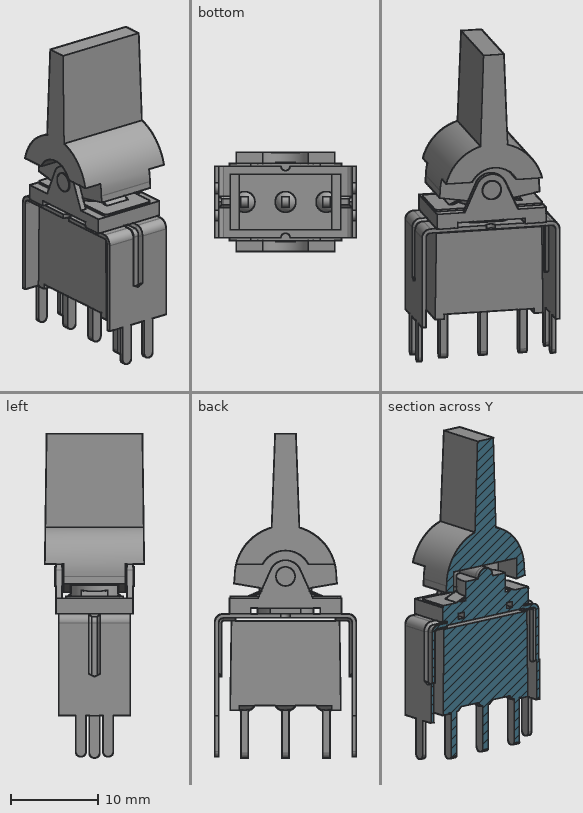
import cadquery as cq
import math


total_height = 37.25
rocker_width = 11.45
rocker_radius = 5.85
rocker_foot_half = 5.92
rocker_inner_width = 7.08
rocker_wall_bottom = 20.05
rocker_keel = 19.03
ear_relief_top = 22.27
ear_relief_radius = 2.98
lever_base_thickness = 3.2
lever_tip_thickness = 2.42
lever_tip_width = 11.02
pocket_length = 9.3
pocket_width = 5.5
pocket_top = 22.27

pin_diameter = 2.2
pin_length = 9.15
pivot_z = 20.85

frame_length = 12.9
frame_width = 8.85
frame_bottom = 16.57
frame_top = 18.35
ear_gap = 7.45
ear_radius = 1.85
ear_base_half = 3.15
frame_slot_length = 7.97
frame_slot_height = 0.65

seal_length = 12.75
seal_width = 6.63
seal_thickness = 0.22
seal_corner = 0.45
flap_thickness = 0.22
flap_width = 3.05
end_flap_reach = 4.32
end_flap_rise = 0.67
side_flap_reach = 3.05
side_flap_rise = 0.3

bushing_radius = 3.25
bushing_width = 5.45
neck_radius = 3.0
bushing_top = pivot_z

bracket_length = 16.27
bracket_width = 8.23
sheet = 0.5
bend_radius = 1.0
leg_bottom = 4.88
leg_pin_tip = 0.15
leg_pin_spacing = 3.13
edge_notch_radius = 0.52

rib_start = 5.75
rib_tip = 9.35
rib_width = 1.35
rib_floor_width = 0.67
rib_depth = 0.35

case_length = 12.75
case_top_length = 12.45
case_width = 6.4
case_bottom = 5.47
case_top = frame_bottom - sheet - rib_depth
recess_length = 10.65
recess_height = 0.55

pin_width = 1.23
terminal_thickness = 0.85
terminal_pitch = 4.7
bead_radius = 1.2
bead_height = 0.67


def box(length, width, bottom, top):
    """Block centred on the Z axis between two heights."""
    block = cq.Workplane("XY").box(length, width, top - bottom, centered=(True, True, False))
    return block.translate((0, 0, bottom))


def slab(outline, width, y=0.0):
    """Extrude an XZ outline symmetrically about the plane at the given y."""
    return outline.extrude(width / 2, both=True).translate((0, y, 0))


def cylinder(radius, bottom, top):
    return cq.Workplane("XY").workplane(offset=bottom).circle(radius).extrude(top - bottom)


def round_tip_pin(x, y, thickness, tip, top):
    """Flat pin with a full round lower end."""
    half = pin_width / 2
    outline = (
        cq.Workplane("YZ")
        .moveTo(-half, top)
        .lineTo(-half, tip + half)
        .threePointArc((0, tip), (half, tip + half))
        .lineTo(half, top)
        .close()
    )
    return outline.extrude(thickness / 2, both=True).translate((x, y, 0))


def make_rocker():
    lever_half = lever_base_thickness / 2
    lever_base_z = pivot_z + math.sqrt(rocker_radius ** 2 - lever_half ** 2)
    shoulder = rocker_radius * math.sqrt(0.5)
    outline = (
        cq.Workplane("XZ")
        .moveTo(-rocker_radius, pivot_z)
        .threePointArc((-shoulder, pivot_z + shoulder), (-lever_half, lever_base_z))
        .lineTo(lever_half, lever_base_z)
        .threePointArc((shoulder, pivot_z + shoulder), (rocker_radius, pivot_z))
        .lineTo(rocker_foot_half, rocker_wall_bottom)
        .lineTo(0, rocker_keel)
        .lineTo(-rocker_foot_half, rocker_wall_bottom)
        .close()
    )
    rocker = slab(outline, rocker_width)
    rocker = rocker.cut(box(pocket_length, pocket_width, 0, pocket_top))

    side_depth = (rocker_width - rocker_inner_width) / 2
    side_y = (rocker_width + rocker_inner_width) / 4
    for side in (-1, 1):
        relief = box(bracket_length, side_depth, 0, ear_relief_top).translate((0, side * side_y, 0))
        arch = cq.Workplane("XZ").center(0, pivot_z).circle(ear_relief_radius)
        rocker = rocker.cut(relief).cut(slab(arch, side_depth, side * side_y))

    lever = cq.Workplane("XZ").polyline([
        (-lever_half, lever_base_z),
        (lever_half, lever_base_z),
        (lever_tip_thickness / 2, total_height),
        (-lever_tip_thickness / 2, total_height),
    ]).close()
    rocker = rocker.union(slab(lever, rocker_width))

    drafted_ends = cq.Workplane("YZ").polyline([
        (-rocker_width / 2, 0),
        (rocker_width / 2, 0),
        (rocker_width / 2, ear_relief_top),
        (lever_tip_width / 2, total_height),
        (-lever_tip_width / 2, total_height),
        (-rocker_width / 2, ear_relief_top),
    ]).close().extrude(bracket_length / 2, both=True)
    return rocker.intersect(drafted_ends)


def make_frame():
    frame = box(frame_length, frame_width, frame_bottom, frame_top)

    drop = pivot_z - frame_top
    reach = math.hypot(ear_base_half, drop)
    tangent_angle = math.acos(ear_radius / reach) - math.atan2(drop, ear_base_half)
    tangent_x = ear_radius * math.cos(tangent_angle)
    tangent_z = pivot_z + ear_radius * math.sin(tangent_angle)
    ear_thickness = (frame_width - ear_gap) / 2
    for side in (-1, 1):
        ear = (
            cq.Workplane("XZ")
            .moveTo(-ear_base_half, frame_top)
            .lineTo(-tangent_x, tangent_z)
            .threePointArc((0, pivot_z + ear_radius), (tangent_x, tangent_z))
            .lineTo(ear_base_half, frame_top)
            .close()
        )
        frame = frame.union(slab(ear, ear_thickness, side * (frame_width + ear_gap) / 4))

    slot = box(frame_slot_length, frame_width, frame_bottom, frame_bottom + frame_slot_height)
    return frame.cut(slot)


def make_flap(reach, inner, rise):
    """Sloping tongue that rises from the seal plate toward the bushing, along +X."""
    foot = frame_top + seal_thickness
    undercut = flap_thickness * (reach - inner) / rise
    outline = cq.Workplane("XZ").polyline([
        (reach, foot),
        (inner, foot + rise),
        (inner, foot + rise - flap_thickness),
        (reach - undercut, foot),
    ]).close()
    return slab(outline, flap_width)


def make_seal():
    seal = box(seal_length, seal_width, frame_top, frame_top + seal_thickness)
    seal = seal.edges("|Z").fillet(seal_corner)
    end_flap = make_flap(end_flap_reach, bushing_width / 2, end_flap_rise)
    side_flap = make_flap(side_flap_reach, bushing_width / 2, side_flap_rise)
    for half_turn in (0, 180):
        seal = seal.union(end_flap.rotate((0, 0, 0), (0, 0, 1), half_turn))
        seal = seal.union(side_flap.rotate((0, 0, 0), (0, 0, 1), half_turn + 90))
    return seal


def make_bushing():
    lower = cylinder(bushing_radius, frame_bottom, frame_top)
    neck = cylinder(neck_radius, frame_top, bushing_top)
    flats = box(2 * bushing_radius, bushing_width, frame_bottom, bushing_top)
    return lower.union(neck).intersect(flats)


def rib_sweep(side, inset):
    """Trapezoid strip that follows the bracket bend, set in from the outer surface."""
    surface_x = bracket_length / 2 - inset
    surface_z = frame_bottom - inset
    radius = bend_radius - inset
    bend_x = surface_x - radius
    bend_z = surface_z - radius
    diagonal = radius * math.sqrt(0.5)
    path = (
        cq.Workplane("XZ")
        .moveTo(side * rib_start, surface_z)
        .lineTo(side * bend_x, surface_z)
        .threePointArc((side * (bend_x + diagonal), bend_z + diagonal), (side * surface_x, bend_z))
        .lineTo(side * surface_x, rib_tip)
    )
    section = cq.Workplane("YZ").workplane(offset=side * rib_start).polyline([
        (-rib_width / 2, surface_z),
        (rib_width / 2, surface_z),
        (rib_floor_width / 2, surface_z - rib_depth),
        (-rib_floor_width / 2, surface_z - rib_depth),
    ]).close()

    half = rib_width / 2
    pointed = cq.Workplane("YZ").polyline([
        (-half, frame_bottom),
        (-half, rib_tip + half / 2),
        (0, rib_tip),
        (half, rib_tip + half / 2),
        (half, frame_bottom),
    ]).close().extrude(bracket_length / 2, both=True)
    return section.sweep(path).intersect(pointed)


def make_bracket():
    bracket = box(bracket_length, bracket_width, leg_bottom, frame_bottom)
    bracket = bracket.edges("|Y and >Z").fillet(bend_radius)
    inside = box(bracket_length - 2 * sheet, bracket_width, leg_bottom, frame_bottom - sheet)
    bracket = bracket.cut(inside.edges("|Y and >Z").fillet(bend_radius - sheet))

    for side in (-1, 1):
        notch = cylinder(edge_notch_radius, leg_bottom, frame_bottom)
        bracket = bracket.cut(notch.translate((0, side * bracket_width / 2, 0)))
        bracket = bracket.union(rib_sweep(side, sheet)).cut(rib_sweep(side, 0))
        for pin_side in (-1, 1):
            leg_x = side * (bracket_length - sheet) / 2
            pin_y = pin_side * leg_pin_spacing / 2
            bracket = bracket.union(round_tip_pin(leg_x, pin_y, sheet, leg_pin_tip, leg_bottom))
    return bracket


def make_case():
    outline = cq.Workplane("XZ").polyline([
        (-case_length / 2, case_bottom),
        (case_length / 2, case_bottom),
        (case_top_length / 2, case_top),
        (-case_top_length / 2, case_top),
    ]).close()
    recess_top = case_bottom + recess_height
    case = slab(outline, case_width).cut(box(recess_length, case_width, case_bottom, recess_top))

    bead_sphere_radius = (bead_radius ** 2 + bead_height ** 2) / (2 * bead_height)
    bead_bottom = recess_top - bead_height
    for x in (-terminal_pitch, 0, terminal_pitch):
        sphere = cq.Workplane("XY").sphere(bead_sphere_radius)
        sphere = sphere.translate((0, 0, bead_bottom + bead_sphere_radius))
        bead = sphere.intersect(box(2 * bead_radius, 2 * bead_radius, bead_bottom, recess_top))
        case = case.union(bead.translate((x, 0, 0)))
        case = case.union(round_tip_pin(x, 0, terminal_thickness, 0, recess_top))
    return case


pivot_pin = slab(cq.Workplane("XZ").center(0, pivot_z).circle(pin_diameter / 2), pin_length)

result = (
    make_case()
    .union(make_bracket())
    .union(make_frame())
    .union(make_seal())
    .union(make_bushing())
    .union(make_rocker())
    .union(pivot_pin)
)